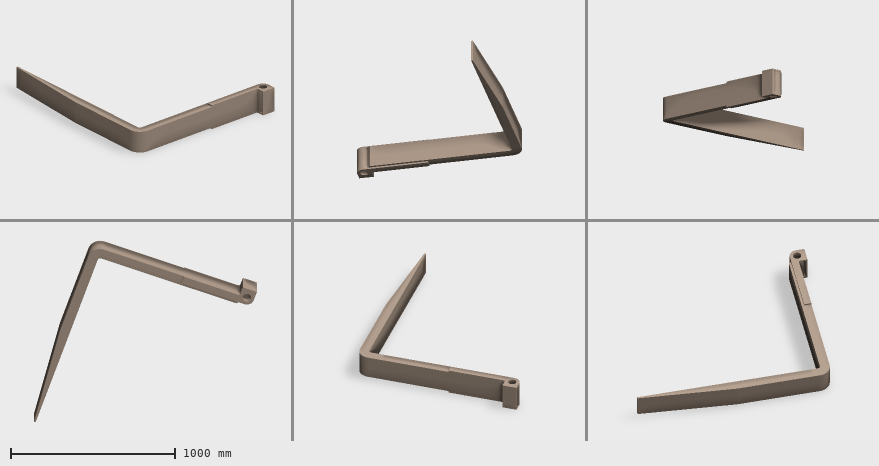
import cadquery as cq
import math

overall_length = 1255.0
overall_depth = 1040.0
fork_height = 139.0
fork_thickness = 60.0
bend_inner_radius = 15.0
bend_outer_radius = bend_inner_radius + fork_thickness
taper_length = 608.0
tip_thickness = 10.0

hook_reach = 55.0
head_radius = 45.0
eye_diameter = 50.0
flange_thickness = 10.7
shoulder_start_y = 948.0
shoulder_end_y = 968.0

plate_thickness = 10.0
plate_length = 450.0
plate_corner_radius = 10.0

shank_outer_x = overall_length - hook_reach
shank_inner_x = shank_outer_x - fork_thickness
head_left_x = shank_outer_x - head_radius
flange_x = overall_length - flange_thickness
hook_depth = 2 * head_radius
hook_y = overall_depth - hook_depth
eye_y = overall_depth - head_radius
shoulder_end_x = shank_outer_x - math.sqrt(head_radius**2 - (eye_y - shoulder_end_y) ** 2)
plate_end_y = overall_depth - plate_length
half_height = fork_height / 2
overall_height = fork_height + 2 * plate_thickness


def drill_eye(body):
    """Cut the hole of the eye along Z through the whole head."""
    hole = (
        cq.Workplane("XY", origin=(shank_outer_x, eye_y, 0))
        .circle(eye_diameter / 2)
        .extrude(overall_height / 2, both=True)
    )
    return body.cut(hole)


def make_fork():
    """Tapered blade, bend, shank, round eye and end flange."""
    bar = (
        cq.Workplane("XY")
        .moveTo(0, fork_thickness)
        .lineTo(0, fork_thickness - tip_thickness)
        .lineTo(taper_length, 0)
        .lineTo(shank_outer_x - bend_outer_radius, 0)
        .radiusArc((shank_outer_x, bend_outer_radius), -bend_outer_radius)
        .lineTo(shank_outer_x, eye_y)
        .lineTo(shoulder_end_x, shoulder_end_y)
        .lineTo(shank_inner_x, shoulder_start_y)
        .lineTo(shank_inner_x, bend_outer_radius)
        .radiusArc((shank_inner_x - bend_inner_radius, fork_thickness), bend_inner_radius)
        .close()
        .extrude(half_height, both=True)
    )
    head = (
        cq.Workplane("XY", origin=(shank_outer_x, eye_y, 0))
        .circle(head_radius)
        .extrude(half_height, both=True)
    )
    flange = (
        cq.Workplane("XY", origin=(flange_x, hook_y, 0))
        .rect(flange_thickness, hook_depth, centered=False)
        .extrude(overall_height / 2, both=True)
    )
    return drill_eye(bar.union(head).union(flange))


def make_side_plate(bottom_z):
    """Hook-shaped plate lying on the shank and eye, ending against the flange."""
    plate = (
        cq.Workplane("XY", origin=(0, 0, bottom_z))
        .moveTo(shank_outer_x, plate_end_y)
        .lineTo(shank_outer_x, hook_y - plate_corner_radius)
        .radiusArc((shank_outer_x + plate_corner_radius, hook_y), plate_corner_radius)
        .lineTo(flange_x, hook_y)
        .lineTo(flange_x, overall_depth)
        .lineTo(shank_outer_x, overall_depth)
        .radiusArc((head_left_x, eye_y), -head_radius)
        .lineTo(head_left_x, plate_end_y)
        .close()
        .extrude(plate_thickness)
    )
    return drill_eye(plate)


fork = make_fork()
side_plates = [
    make_side_plate(bottom_z) for bottom_z in (-half_height - plate_thickness, half_height)
]

result = cq.Compound.makeCompound([fork.val(), *[plate.val() for plate in side_plates]])